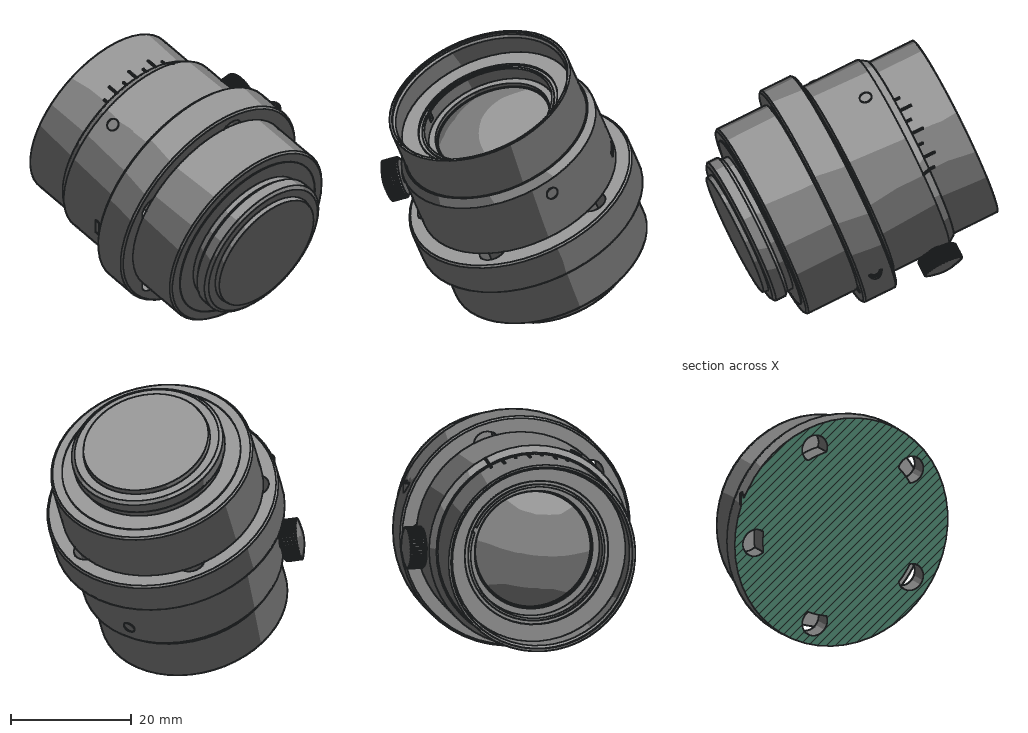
import cadquery as cq
import math

length = 40.85
front_radius = 15.825
front_end = 8.25
cone_start_radius = 16.1
cone_end = 9.6
barrel_radius = 17.01
barrel_end = 19.8
neck_radius = 13.2
neck_end = 20.0
collar_radius = 14.38
ring_start = 20.45
ring_end = 26.6
ring_radius = 19.5
ring_chamfer = 0.33
rear_end = 35.95
rear_chamfer = 0.33
rear_step_radius = 15.05
rear_step_end = 36.1
mount_neck_radius = 12.15
mount_neck_end = 37.12
flange_radius = 12.762
flange_start = 37.7
flange_chamfer_start = 39.5
flange_end = 39.9
nose_radius = 10.7
nose_tip_radius = 10.55
nose_end = 40.7
rear_glass_radius = 2.25

rim_radius = 15.4
hood_radius = 15.01
rim_depth = 0.4
rim_cone_depth = 0.8
hood_depth = 4.1
gap_outer_radius = 12.15
gap_depth = 4.45
retainer_outer_radius = 11.55
retainer_bore_radius = 11.15
retainer_front = 4.25
retainer_end = 5.7
seat_depth = 6.45
lens_clearance_radius = 10.0
lens_radius = 9.74
lens_edge_depth = 7.15
lens_bulge = 2.45

slot_width = 1.0
slot_angle = 22.6

ring_hole_count = 5
ring_hole_radius = 2.25
ring_hole_circle = 15.7

screw_x = 12.25
screw_count = 3
set_screw_radius = 1.02
set_screw_recess = 0.15
stem_radius = 1.05
knob_radius = 3.47
knob_bottom = 17.48
knob_top = 20.4
knob_chamfer = 0.33
knob_dome_radius = 3.05
knob_rim_height = 0.15
knob_dome_top = 20.95
knurl_count = 36
knurl_depth = 0.15

pin_radius = 1.41
pin_y = 16.887
pin_top = 8.6
pin_length = 4.1
pin_chamfer = 0.15
socket_radius = 1.0
socket_depth = 0.6

tick_count = 7
first_tick_angle = 26.3
tick_step = 8.05
long_tick = 1.9
short_tick = 0.8
tick_width = 0.3
tick_gap = 0.15
mark_depth = 0.12

mark_x = 17.85
mark_length = 0.8
mark_width = 3.1
mark_height = 0.06


def dome_arc(base_radius, height):
    """Halfway point of a dome's profile arc: its drop below the apex and its distance from the axis."""
    sphere_radius = (base_radius**2 + height**2) / (2 * height)
    half_angle = math.asin(base_radius / sphere_radius) / 2
    return sphere_radius * (1 - math.cos(half_angle)), sphere_radius * math.sin(half_angle)


def make_body():
    rear_flat_end = rear_end - rear_chamfer
    profile = (
        cq.Workplane("XY")
        .moveTo(0, 0)
        .lineTo(0, front_radius)
        .lineTo(front_end, front_radius)
        .lineTo(front_end, cone_start_radius)
        .lineTo(cone_end, barrel_radius)
        .lineTo(barrel_end, barrel_radius)
        .lineTo(barrel_end, neck_radius)
        .lineTo(neck_end, neck_radius)
        .lineTo(neck_end, collar_radius)
        .lineTo(ring_end, collar_radius)
        .lineTo(ring_end, barrel_radius)
        .lineTo(rear_flat_end, barrel_radius)
        .lineTo(rear_end, barrel_radius - rear_chamfer)
        .lineTo(rear_end, rear_step_radius)
        .lineTo(rear_step_end, rear_step_radius)
        .lineTo(rear_step_end, mount_neck_radius)
        .lineTo(mount_neck_end, mount_neck_radius)
        .lineTo(flange_start, flange_radius)
        .lineTo(flange_chamfer_start, flange_radius)
        .lineTo(flange_end, mount_neck_radius)
        .lineTo(flange_end, nose_radius)
        .lineTo(nose_end, nose_tip_radius)
        .lineTo(nose_end, rear_glass_radius)
    )
    drop, middle_radius = dome_arc(rear_glass_radius, length - nose_end)
    profile = profile.threePointArc((length - drop, middle_radius), (length, 0))
    return profile.close().revolve(360, (0, 0, 0), (1, 0, 0))


def make_front_opening():
    lens_top = lens_edge_depth - lens_bulge
    drop, middle_radius = dome_arc(lens_radius, lens_bulge)
    return (
        cq.Workplane("XY")
        .moveTo(0, 0)
        .lineTo(0, rim_radius)
        .lineTo(rim_depth, rim_radius)
        .lineTo(rim_cone_depth, hood_radius)
        .lineTo(hood_depth, hood_radius)
        .lineTo(hood_depth, gap_outer_radius)
        .lineTo(gap_depth, gap_outer_radius)
        .lineTo(gap_depth, retainer_outer_radius)
        .lineTo(retainer_front, retainer_outer_radius)
        .lineTo(retainer_front, retainer_bore_radius)
        .lineTo(seat_depth, retainer_bore_radius)
        .lineTo(seat_depth, lens_clearance_radius)
        .lineTo(lens_edge_depth, lens_clearance_radius)
        .lineTo(lens_edge_depth, lens_radius)
        .threePointArc((lens_top + drop, middle_radius), (lens_top, 0))
        .close()
        .revolve(360, (0, 0, 0), (1, 0, 0))
    )


def make_spanner_slots():
    """Cutter for both slots: a bar across the opening, kept only in the retainer wall."""
    bar = (
        cq.Workplane("XY")
        .box(retainer_end - retainer_front, 2 * retainer_outer_radius, slot_width)
        .translate(((retainer_front + retainer_end) / 2, 0, 0))
    )
    bore = (
        cq.Workplane("YZ", origin=(retainer_front, 0, 0))
        .circle(retainer_bore_radius)
        .extrude(retainer_end - retainer_front)
    )
    return bar.cut(bore).rotate((0, 0, 0), (1, 0, 0), slot_angle)


def make_ring():
    ring = (
        cq.Workplane("YZ", origin=(ring_start, 0, 0))
        .circle(ring_radius)
        .extrude(ring_end - ring_start)
        .edges()
        .chamfer(ring_chamfer)
    )
    holes = (
        cq.Workplane("YZ", origin=(ring_start, 0, 0))
        .polarArray(ring_hole_circle, 0, 360, ring_hole_count)
        .circle(ring_hole_radius)
        .extrude(ring_end - ring_start)
    )
    return ring.cut(holes)


def make_knob():
    """Locking screw with its axis on Y."""
    facing_y = cq.Workplane("XZ", origin=(screw_x, 0, 0))
    stem = facing_y.circle(stem_radius).extrude(-knob_bottom).cut(
        facing_y.circle(stem_radius).extrude(-front_radius)
    )
    profile = (
        cq.Workplane("XY")
        .moveTo(0, knob_bottom)
        .lineTo(knob_radius - knob_chamfer, knob_bottom)
        .lineTo(knob_radius, knob_bottom + knob_chamfer)
        .lineTo(knob_radius, knob_top - knob_rim_height)
        .lineTo(knob_dome_radius, knob_top)
    )
    drop, middle_radius = dome_arc(knob_dome_radius, knob_dome_top - knob_top)
    head = (
        profile.threePointArc((middle_radius, knob_dome_top - drop), (0, knob_dome_top))
        .close()
        .revolve(360, (0, 0, 0), (0, 1, 0))
        .translate((screw_x, 0, 0))
    )
    grooves = (
        cq.Workplane("XZ", origin=(screw_x, knob_top, 0))
        .polarArray(knob_radius, 0, 360, knurl_count)
        .polygon(4, 2 * knurl_depth)
        .extrude(knob_top - knob_bottom)
    )
    return head.cut(grooves).union(stem)


def make_set_screw_recesses():
    recess = (
        cq.Workplane("XZ", origin=(screw_x, barrel_radius - set_screw_recess, 0))
        .circle(set_screw_radius)
        .extrude(-2 * set_screw_recess)
    )
    recesses = cq.Workplane("XY")
    for number in range(1, screw_count):
        recesses = recesses.union(recess.rotate((0, 0, 0), (1, 0, 0), number * 360 / screw_count))
    return recesses


def make_pin():
    return (
        cq.Workplane("XY", origin=((ring_start + ring_end) / 2, pin_y, pin_top - pin_length))
        .circle(pin_radius)
        .extrude(pin_length)
        .faces(">Z")
        .chamfer(pin_chamfer)
        .faces(">Z")
        .workplane()
        .circle(socket_radius)
        .cutBlind(-socket_depth)
    )


def make_scale_marks():
    """Cutters for the ticks and the index line; angles are from +Z towards +Y."""
    bar_height = 2 * mark_depth

    def mark(bar, middle_x, radius, angle):
        return bar.translate((middle_x, 0, radius)).rotate((0, 0, 0), (1, 0, 0), -angle)

    cone_length = cone_end - front_end
    cone_rise = barrel_radius - cone_start_radius
    slope = math.degrees(math.atan2(cone_rise, cone_length))
    index_bar = (
        cq.Workplane("XY")
        .box(math.hypot(cone_length, cone_rise), tick_width, bar_height)
        .rotate((0, 0, 0), (0, 1, 0), -slope)
    )
    index_x = (front_end + cone_end) / 2
    index_radius = (cone_start_radius + barrel_radius) / 2
    marks = mark(index_bar, index_x, index_radius, first_tick_angle)

    for number in range(tick_count):
        tick_length = long_tick if number % 2 else short_tick
        bar = cq.Workplane("XY").box(tick_length, tick_width, bar_height)
        tick_x = front_end - tick_gap - tick_length / 2
        angle = first_tick_angle - number * tick_step
        marks = marks.union(mark(bar, tick_x, front_radius, angle))
    return marks


def make_raised_mark():
    return (
        cq.Workplane("XZ", origin=(mark_x, -front_radius, 0))
        .rect(mark_length, mark_width)
        .extrude(barrel_radius + mark_height - front_radius)
    )


result = (
    make_body()
    .union(make_ring())
    .cut(make_front_opening())
    .cut(make_spanner_slots())
    .cut(make_set_screw_recesses())
    .cut(make_scale_marks())
    .union(make_knob())
    .union(make_pin())
    .union(make_raised_mark())
)